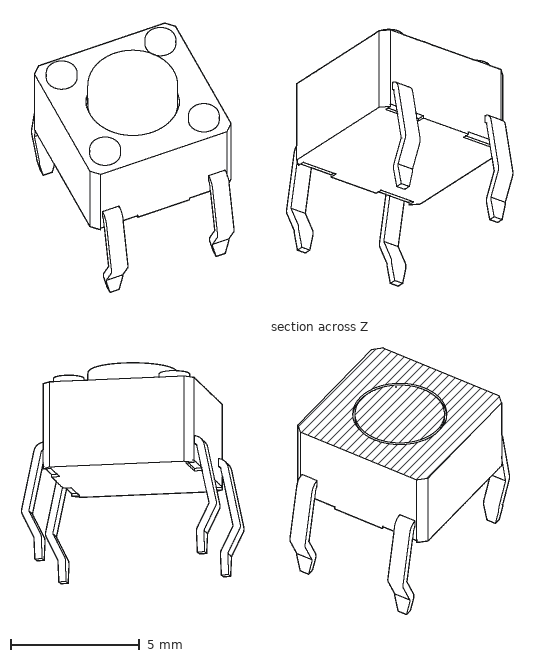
import cadquery as cq
import math


body_width = 6.0
corner_chamfer = 0.32
body_bottom = 3.51
body_top = 6.895
cover_thickness = 0.3
cover_bottom = body_top - cover_thickness
half_width = body_width / 2

recess_height = 0.1
recess_inner_y = 1.1
recess_outer_y = half_width - corner_chamfer
recess_depth = corner_chamfer

button_top = 7.8
button_diameter = 3.5
button_fillet = 0.09
hole_diameter = 3.64
hole_edge_fillet = 0.07

peg_diameter = 1.2
peg_height = 0.305
peg_fillet = 0.04
peg_offset = 2.1

leg_span = 7.75
leg_thickness = 0.3
leg_width = 0.7
leg_offset_y = 2.255
shoulder_x = 2.965
shoulder_z = 4.165
shoulder_outer_radius = 0.43
knee_x = leg_span / 2 - leg_thickness
knee_z = 1.895
ankle_x = 3.38
ankle_z = 0.82
leg_embed = 0.155
foot_taper_height = 0.725
foot_tip_width = 0.39


def make_block(bottom, top):
    """Square block with chamfered vertical corners, between two heights."""
    return (
        cq.Workplane("XY", origin=(0, 0, bottom))
        .rect(body_width, body_width)
        .extrude(top - bottom)
        .edges("|Z")
        .chamfer(corner_chamfer)
    )


def make_base():
    recess_middle_x = half_width - recess_depth / 2
    recess_middle_y = (recess_inner_y + recess_outer_y) / 2
    recesses = (
        cq.Workplane("XY", origin=(0, 0, body_bottom))
        .rect(2 * recess_middle_x, 2 * recess_middle_y, forConstruction=True)
        .vertices()
        .rect(recess_depth, recess_outer_y - recess_inner_y)
        .extrude(recess_height)
    )
    return make_block(body_bottom, cover_bottom).cut(recesses)


def make_cover():
    return (
        make_block(cover_bottom, body_top)
        .faces(">Z")
        .workplane()
        .hole(hole_diameter)
        .faces(">Z")
        .edges("%CIRCLE")
        .fillet(hole_edge_fillet)
    )


def make_button():
    return (
        cq.Workplane("XY", origin=(0, 0, cover_bottom))
        .circle(button_diameter / 2)
        .extrude(button_top - cover_bottom)
        .faces(">Z")
        .edges()
        .fillet(button_fillet)
    )


def make_pegs():
    return (
        cq.Workplane("XY", origin=(0, 0, body_top))
        .rect(2 * peg_offset, 2 * peg_offset, forConstruction=True)
        .vertices()
        .circle(peg_diameter / 2)
        .extrude(peg_height)
        .faces(">Z")
        .edges()
        .fillet(peg_fillet)
    )


def polar(center, radius, angle):
    """Point at a radius from a center, angle in radians above +X."""
    return (center[0] + radius * math.cos(angle), center[1] + radius * math.sin(angle))


def leg_profile():
    """XZ outline of a +X leg: shoulder arc, outward slope, knee, inward slope, straight foot."""
    shoulder = (shoulder_x, shoulder_z)
    knee = (knee_x, knee_z)
    ankle = (ankle_x, ankle_z)
    inner_radius = shoulder_outer_radius - leg_thickness

    upper_run = knee_x - shoulder_x
    upper_drop = shoulder_z - knee_z
    upper_tilt = math.asin(inner_radius / math.hypot(upper_run, upper_drop))
    upper_lean = math.atan2(upper_run, upper_drop) - upper_tilt
    lower_run = knee_x - ankle_x
    lower_drop = knee_z - ankle_z
    lower_tilt = math.asin(leg_thickness / math.hypot(lower_run, lower_drop))
    lower_lean = math.atan2(lower_run, lower_drop) + lower_tilt

    straight_up = math.pi / 2
    shoulder_middle = (straight_up + upper_lean) / 2
    knee_middle = (upper_lean - lower_lean) / 2
    root_x = half_width - leg_embed
    foot_inner_x = ankle_x - leg_thickness
    return (
        cq.Workplane("XZ")
        .moveTo(root_x, shoulder_z + shoulder_outer_radius)
        .lineTo(*polar(shoulder, shoulder_outer_radius, straight_up))
        .threePointArc(
            polar(shoulder, shoulder_outer_radius, shoulder_middle),
            polar(shoulder, shoulder_outer_radius, upper_lean),
        )
        .lineTo(*polar(knee, leg_thickness, upper_lean))
        .threePointArc(
            polar(knee, leg_thickness, knee_middle),
            polar(knee, leg_thickness, -lower_lean),
        )
        .lineTo(*ankle)
        .lineTo(ankle_x, 0)
        .lineTo(foot_inner_x, 0)
        .lineTo(foot_inner_x, ankle_z)
        .threePointArc(
            polar(ankle, leg_thickness, math.pi - lower_lean / 2),
            polar(ankle, leg_thickness, math.pi - lower_lean),
        )
        .lineTo(*knee)
        .lineTo(*polar(shoulder, inner_radius, upper_lean))
        .threePointArc(
            polar(shoulder, inner_radius, shoulder_middle),
            polar(shoulder, inner_radius, straight_up),
        )
        .lineTo(root_x, shoulder_z + inner_radius)
        .close()
    )


def make_leg():
    """One leg on the +X side, centered on Y = 0, with its foot tapered to the tip."""
    strip = leg_profile().extrude(leg_width / 2, both=True)
    front_outline = (
        cq.Workplane("YZ")
        .moveTo(-foot_tip_width / 2, 0)
        .lineTo(foot_tip_width / 2, 0)
        .lineTo(leg_width / 2, foot_taper_height)
        .lineTo(leg_width / 2, body_top)
        .lineTo(-leg_width / 2, body_top)
        .lineTo(-leg_width / 2, foot_taper_height)
        .close()
        .extrude(leg_span)
    )
    return strip.intersect(front_outline)


result = make_base().union(make_cover()).union(make_button()).union(make_pegs())
right_leg = make_leg()
for leg in (right_leg, right_leg.mirror("YZ")):
    for leg_y in (-leg_offset_y, leg_offset_y):
        result = result.union(leg.translate((0, leg_y, 0)))